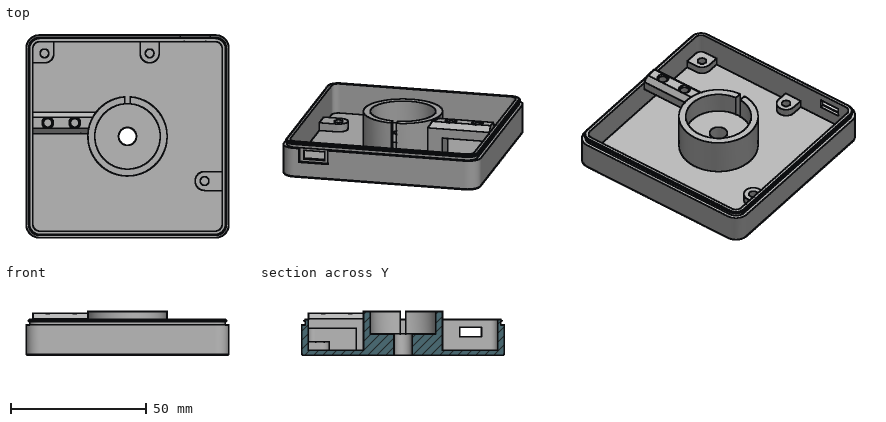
import cadquery as cq

side = 75.0
corner_radius = 5.0
wall = 2.5
floor = 2.0
shoulder_z = 11.3
rim_z = 13.3
bottom_chamfer = 0.5

lip_inset = 1.3
bead_height = 0.9
bead_reach = 0.4

collar_height_above_rim = 3.0
collar_outer_diameter = 29.3
collar_inner_diameter = 24.2
collar_floor_z = 8.0
collar_slot_width = 2.0
centre_hole_diameter = 6.5

bar_y = 5.0
bar_width = 8.0
bar_chamfer = 2.0
bar_top_z = 15.6
bar_bottom_z = 10.0
bar_leg_x = -17.2
screw_hole_diameter = 3.2
bar_hole_chamfer = 0.5
bar_hole_xs = (-29.5, -19.5)

boss_radius = 3.5
boss_height = 3.0
rear_boss_y = 30.7
corner_boss_x = -30.7
middle_boss_x = 8.2
side_boss_x = 28.5
side_boss_y = -16.5

window_x = 25.0
window_width = 8.0
window_bottom_z = 7.0
window_height = 3.4
recess_width = 11.0
recess_depth = 1.2
recess_bottom_z = 6.0

half_side = side / 2
inner_half = half_side - wall
collar_top_z = rim_z + collar_height_above_rim
boss_top_z = floor + boss_height


def rounded_square(inset, bottom_z, top_z):
    """Square block set in from the outer wall, with corners concentric to the outer ones."""
    width = side - 2 * inset
    block = cq.Workplane("XY").workplane(offset=bottom_z).rect(width, width).extrude(top_z - bottom_z)
    return block.edges("|Z").fillet(corner_radius - inset)


def box_between(x_range, y_range, z_range):
    """Axis-aligned block given by its limits."""
    low, high = zip(x_range, y_range, z_range)
    lengths = [end - start for start, end in zip(low, high)]
    return cq.Workplane("XY").box(*lengths, centered=False).translate(low)


def cylinder(x, y, diameter, bottom_z, top_z):
    """Upright cylinder."""
    base = cq.Workplane("XY").workplane(offset=bottom_z)
    return base.center(x, y).circle(diameter / 2).extrude(top_z - bottom_z)


def make_shell():
    """Open tray with a chamfered foot and a beaded snap lip."""
    body = rounded_square(0, 0, shoulder_z).faces("<Z").chamfer(bottom_chamfer)
    lip = rounded_square(lip_inset, shoulder_z, rim_z)
    bead = rounded_square(lip_inset - bead_reach, rim_z - bead_height, rim_z)
    bead = bead.faces("<Z or >Z").chamfer(bead_reach)
    cavity = rounded_square(wall, floor, rim_z)
    return body.union(lip).union(bead).cut(cavity)


def make_boss(x, y, blocks):
    """Round boss joined to the walls by the given (x_range, y_range) blocks."""
    boss = cylinder(x, y, 2 * boss_radius, floor, boss_top_z)
    for x_range, y_range in blocks:
        boss = boss.union(box_between(x_range, y_range, (floor, boss_top_z)))
    return boss.cut(cylinder(x, y, screw_hole_diameter, floor, boss_top_z))


def make_bosses():
    """Corner boss, rear-wall boss and +X wall boss."""
    rear = (rear_boss_y, inner_half)
    corner_blocks = [
        ((-inner_half, corner_boss_x + boss_radius), rear),
        ((-inner_half, corner_boss_x), (rear_boss_y - boss_radius, inner_half)),
    ]
    middle_blocks = [((middle_boss_x - boss_radius, middle_boss_x + boss_radius), rear)]
    side_blocks = [((side_boss_x, inner_half), (side_boss_y - boss_radius, side_boss_y + boss_radius))]
    bosses = make_boss(corner_boss_x, rear_boss_y, corner_blocks)
    bosses = bosses.union(make_boss(middle_boss_x, rear_boss_y, middle_blocks))
    bosses = bosses.union(make_boss(side_boss_x, side_boss_y, side_blocks))
    return bosses.intersect(rounded_square(wall, floor, boss_top_z))


def countersink(x):
    """Conical mouth of a screw hole in the top of the bar."""
    hole_radius = screw_hole_diameter / 2
    cone = cq.Solid.makeCone(
        hole_radius,
        hole_radius + bar_hole_chamfer,
        bar_hole_chamfer,
        pnt=cq.Vector(x, bar_y, bar_top_z - bar_hole_chamfer),
    )
    return cq.Workplane("XY").add(cone)


def make_bar():
    """Chamfered bridge bar with two countersunk holes and a leg beside the collar."""
    y_range = (bar_y - bar_width / 2, bar_y + bar_width / 2)
    bar = box_between((-inner_half, 0), y_range, (bar_bottom_z, bar_top_z))
    bar = bar.edges("|X and >Z").chamfer(bar_chamfer)
    bar = bar.union(box_between((bar_leg_x, 0), y_range, (floor, bar_bottom_z)))
    for x in bar_hole_xs:
        bar = bar.cut(cylinder(x, bar_y, screw_hole_diameter, bar_bottom_z, bar_top_z))
        bar = bar.cut(countersink(x))
    return bar


def add_collar(body):
    """Slotted collar with a raised floor; its bore also trims the end of the bar."""
    collar = cylinder(0, 0, collar_outer_diameter, floor, collar_top_z)
    half_slot = collar_slot_width / 2
    slot = box_between((-half_slot, half_slot), (0, collar_outer_diameter / 2), (floor, collar_top_z))
    bore = cylinder(0, 0, collar_inner_diameter, collar_floor_z, collar_top_z)
    plinth = cylinder(0, 0, collar_inner_diameter, floor, collar_floor_z)
    return body.union(collar.cut(slot)).union(plinth).cut(bore)


def cut_window(body):
    """Connector window through the +Y wall with a wider recess outside."""
    window = box_between(
        (window_x - window_width / 2, window_x + window_width / 2),
        (inner_half, half_side),
        (window_bottom_z, window_bottom_z + window_height),
    )
    recess = box_between(
        (window_x - recess_width / 2, window_x + recess_width / 2),
        (half_side - recess_depth, half_side),
        (recess_bottom_z, shoulder_z),
    )
    return body.cut(window).cut(recess)


def build():
    """Complete tray."""
    body = make_shell().union(make_bosses()).union(make_bar())
    body = add_collar(body)
    body = body.cut(cylinder(0, 0, centre_hole_diameter, 0, collar_floor_z))
    return cut_window(body)


result = build()